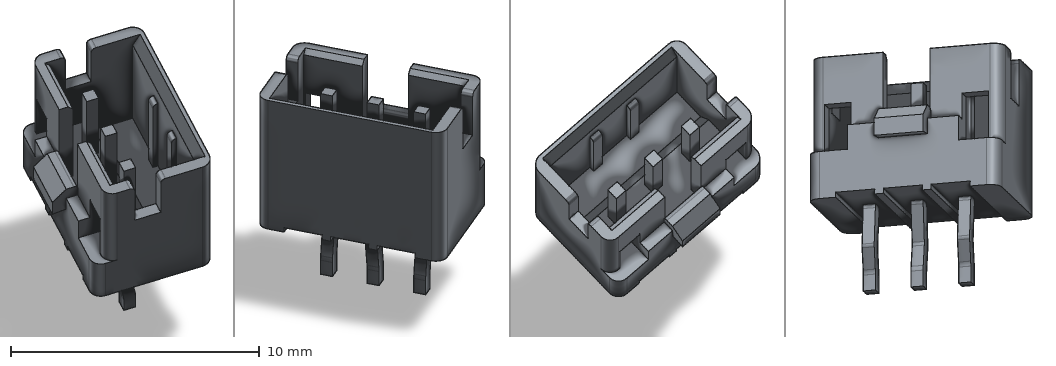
import cadquery as cq


overall_height = 9.47

width = 8.0
height = 6.06
back_y = 2.945
front_y = -2.25
corner_radius = 0.5
step_depth = 0.5
upper_front_y = front_y + step_depth
step_z = 1.97
block_half_width = 2.33
block_top = 2.99

side_wall = 0.5
back_wall = 0.5
front_wall = 0.6
cavity_half_width = width / 2 - side_wall
cavity_back_y = back_y - back_wall
cavity_front_y = upper_front_y + front_wall
front_floor_z = 1.75
back_floor_z = 1.06
slope_front_y = 0.55
slope_back_y = 1.03
back_lead_in = 0.32
back_lead_in_height = 0.52
front_lead_in = 0.21

slot_width = 1.97
window_outer_x = 3.43
window_top = 4.07
side_slot_back_y = 0.64
side_slot_front_y = -0.47
side_slot_floor = 4.07
side_slot_radius = 0.21

rib_width = 0.46
rib_depth = 0.23
rib_top = 4.87
rib_radius = 0.2

latch_width = 2.05
latch_reach = 0.6
latch_top = 3.55
latch_nose_bottom = 2.27
latch_root_bottom = 2.34
latch_radius = 0.17

pin_pitch = 2.0
pin_size = 0.51
pin_top = 5.1
pin_bottom = height - overall_height
bend_offset = 0.18
bend_start_z = 0.1
bend_apex_z = -1.57
bend_end_z = -2.64
apex_radius = 0.57
end_radius = 1.23
bend_search = 0.09
pin_columns = (-1, 0, 1)

relief_width = 1.63
relief_height = 0.21


def box(x0, x1, y0, y1, z0, z1):
    """Box between two opposite corners."""
    return cq.Workplane("XY").box(x1 - x0, y1 - y0, z1 - z0, centered=False).translate((x0, y0, z0))


def extrude_across(points, span, x_center=0):
    """Extrude a closed (Y, Z) outline along X, centered on x_center."""
    profile = cq.Workplane("YZ", origin=(x_center - span / 2, 0, 0))
    return profile.polyline(points).close().extrude(span)


def rounded_block(y0, y1, z0, z1):
    """Full-width block with rounded vertical corners."""
    return box(-width / 2, width / 2, y0, y1, z0, z1).edges("|Z").fillet(corner_radius)


def outer_body():
    lower = rounded_block(front_y, back_y, 0, step_z)
    upper = rounded_block(upper_front_y, back_y, 0, height)
    block = box(-block_half_width, block_half_width, front_y, cavity_front_y, 0, block_top)
    return lower.union(upper).union(block)


def cavity():
    outline = [
        (cavity_front_y, front_floor_z),
        (slope_front_y, front_floor_z),
        (slope_back_y, back_floor_z),
        (cavity_back_y, back_floor_z),
        (cavity_back_y, height - back_lead_in_height),
        (cavity_back_y + back_lead_in, height),
        (cavity_front_y - front_lead_in, height),
        (cavity_front_y, height - front_lead_in),
    ]
    return extrude_across(outline, 2 * cavity_half_width)


def side_slots():
    """Slot through both side walls, with rounded top edges."""
    radius = side_slot_radius
    shoulder = height - radius
    profile = (
        cq.Workplane("YZ", origin=(-width / 2, 0, 0))
        .moveTo(side_slot_front_y, side_slot_floor)
        .lineTo(side_slot_back_y, side_slot_floor)
        .lineTo(side_slot_back_y, shoulder)
        .radiusArc((side_slot_back_y + radius, height), radius)
        .lineTo(side_slot_front_y - radius, height)
        .radiusArc((side_slot_front_y, shoulder), radius)
        .close()
    )
    return profile.extrude(width)


def front_openings():
    """Central latch slot and a window at each side of the front wall."""
    half_slot = slot_width / 2
    slot = box(-half_slot, half_slot, upper_front_y, cavity_front_y, front_floor_z, height)
    left = box(-window_outer_x, -block_half_width, front_y, cavity_front_y, step_z, window_top)
    return slot.union(left).union(left.mirror("YZ"))


def latch():
    nose_y = front_y - latch_reach
    outline = [
        (upper_front_y, latch_root_bottom),
        (upper_front_y, latch_top),
        (front_y, latch_top),
        (nose_y, block_top),
        (nose_y, latch_nose_bottom),
        (front_y, latch_root_bottom),
    ]
    return extrude_across(outline, latch_width).edges("|X and >Z and >Y").fillet(latch_radius)


def rib(x_center):
    """Rib on the back cavity wall with a rounded top front edge."""
    half = rib_width / 2
    front_face_y = cavity_back_y - rib_depth
    bar = box(x_center - half, x_center + half, front_face_y, cavity_back_y, back_floor_z, rib_top)
    return bar.edges("|X and >Z and <Y").fillet(rib_radius)


def pin(column):
    """Square pin with a retention kink: outer pins bend forward, the middle one backward."""
    half = pin_size / 2
    offset = bend_offset if column == 0 else -bend_offset
    centerline = [
        (0, pin_top),
        (0, bend_start_z),
        (offset, bend_apex_z),
        (0, bend_end_z),
        (0, pin_bottom),
    ]
    front = [(y - half, z) for y, z in centerline]
    back = [(y + half, z) for y, z in reversed(centerline)]
    bar = extrude_across(front + back, pin_size, column * pin_pitch)

    for bend_z, radius in ((bend_start_z, end_radius), (bend_apex_z, apex_radius), (bend_end_z, end_radius)):
        around_bend = cq.selectors.BoxSelector(
            (-width, front_y, bend_z - bend_search),
            (width, back_y, bend_z + bend_search),
        )
        bar = bar.edges("|X").edges(around_bend).fillet(radius)
    return bar


def relief(column):
    """Shallow channel across the underside at one pin."""
    center = column * pin_pitch
    half = relief_width / 2
    return box(center - half, center + half, front_y, back_y, 0, relief_height)


result = outer_body().cut(cavity()).cut(side_slots()).cut(front_openings())
result = result.union(latch())
for side in (-1, 1):
    result = result.union(rib(side * pin_pitch / 2))
for column in pin_columns:
    result = result.cut(relief(column)).union(pin(column))